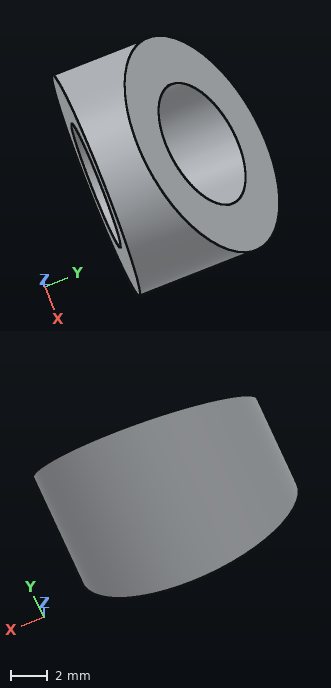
import cadquery as cq
import math

outer_diameter = 13.0
bore_diameter = 7.3
short_length = 2.5
slant_angle = 30.0

outer_radius = outer_diameter / 2
long_length = short_length + outer_diameter * math.tan(math.radians(slant_angle))


def make_tube():
    """Straight tube from the front face at Y = 0 to the longest point."""
    return (
        cq.Workplane("XZ")
        .circle(outer_radius)
        .circle(bore_diameter / 2)
        .extrude(-long_length)
    )


def make_slanted_envelope():
    """Side profile in YZ, short at the top and long at the bottom, as wide as the tube."""
    return (
        cq.Workplane("YZ")
        .moveTo(0, -outer_radius)
        .lineTo(long_length, -outer_radius)
        .lineTo(short_length, outer_radius)
        .lineTo(0, outer_radius)
        .close()
        .extrude(outer_radius, both=True)
    )


result = make_tube().intersect(make_slanted_envelope())